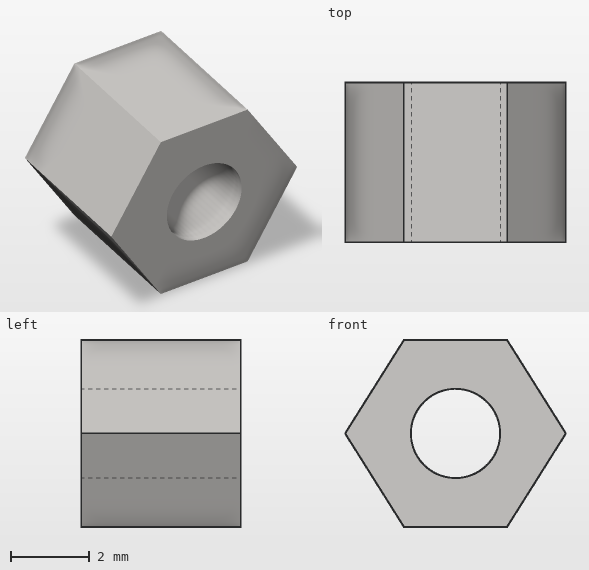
import cadquery as cq

width_across_corners = 5.61
height_across_flats = 4.75
flat_width = 2.62
length = 4.06
bore_diameter = 2.26

half_width = width_across_corners / 2
half_height = height_across_flats / 2
half_flat = flat_width / 2

hexagon_corners = [
    (half_width, 0),
    (half_flat, half_height),
    (-half_flat, half_height),
    (-half_width, 0),
    (-half_flat, -half_height),
    (half_flat, -half_height),
]

body = cq.Workplane("XZ").polyline(hexagon_corners).close().extrude(length / 2, both=True)

bore = cq.Workplane("XZ").circle(bore_diameter / 2).extrude(length / 2, both=True)

result = body.cut(bore)